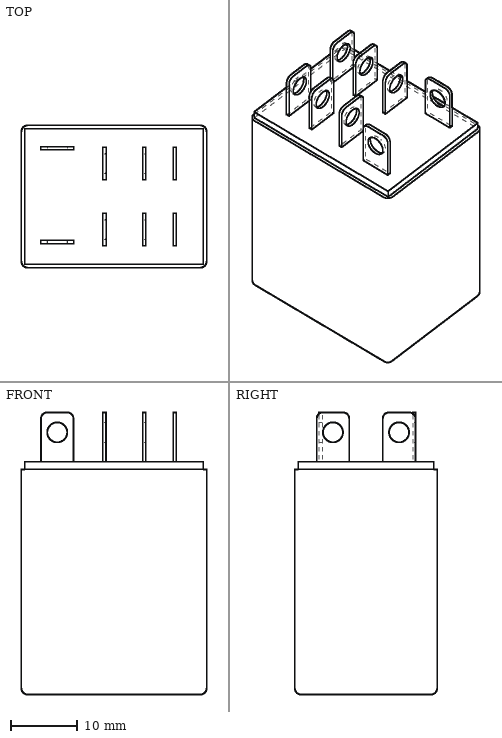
import cadquery as cq

housing_length = 28.0
housing_width = 21.5
total_height = 42.6

plate_thickness = 1.15
plate_inset = 0.5
terminal_height = 7.45
terminal_width = 4.95
terminal_thickness = 0.5
terminal_corner_radius = 1.0
terminal_hole_diameter = 3.0
terminal_hole_drop = 3.02

housing_edge_radius = 1.02

coil_terminal_x = -8.55
coil_terminal_ys = [7.3, -6.85]
contact_terminal_xs = [-1.45, 4.55, 9.15]
contact_terminal_ys = [5.0, -5.0]

plate_top = total_height - terminal_height
housing_top = plate_top - plate_thickness


def make_housing():
    """Solid block with rounded upright and bottom edges and a flat, sharp top."""
    block = cq.Workplane("XY").box(
        housing_length, housing_width, housing_top, centered=(True, True, False)
    )
    return block.edges("|Z or <Z").fillet(housing_edge_radius)


def make_terminal():
    """Blade lying along X, centred on the origin, with rounded tip corners and an eyelet hole."""
    blade = cq.Workplane("XY").box(
        terminal_width, terminal_thickness, terminal_height, centered=(True, True, False)
    )
    blade = blade.faces(">Z").edges("|Y").fillet(terminal_corner_radius)
    hole = (
        cq.Workplane("XZ")
        .center(0, terminal_height - terminal_hole_drop)
        .circle(terminal_hole_diameter / 2)
        .extrude(terminal_thickness, both=True)
    )
    return blade.cut(hole)


def make_header():
    """Plate on top of the housing, in one piece with its coil and contact terminals."""
    header = cq.Workplane("XY", origin=(0, 0, housing_top)).box(
        housing_length - 2 * plate_inset,
        housing_width - 2 * plate_inset,
        plate_thickness,
        centered=(True, True, False),
    )
    coil_terminal = make_terminal()
    contact_terminal = coil_terminal.rotate((0, 0, 0), (0, 0, 1), 90)

    for y in coil_terminal_ys:
        header = header.union(coil_terminal.translate((coil_terminal_x, y, plate_top)))
    for x in contact_terminal_xs:
        for y in contact_terminal_ys:
            header = header.union(contact_terminal.translate((x, y, plate_top)))
    return header


housing = make_housing()
header = make_header()

result = cq.Compound.makeCompound([housing.val(), *header.vals()])